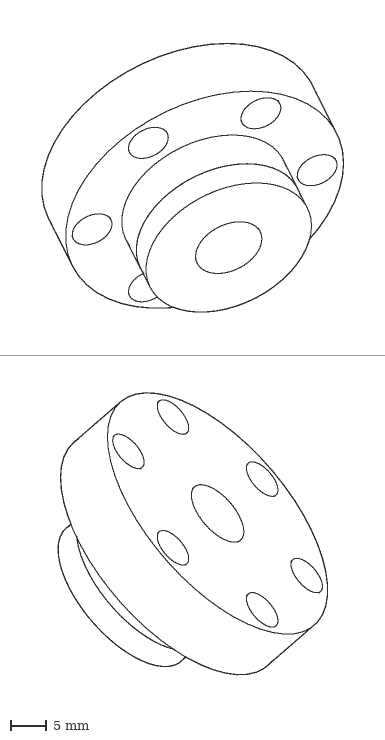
import cadquery as cq

flange_diameter = 42.0
flange_thickness = 10.0

hub_diameter = 25.05
hub_length = 6.0
spigot_diameter = 25.0
spigot_length = 4.0

bore_diameter = 10.0
bolt_hole_diameter = 6.0
bolt_circle_diameter = 34.0
bolt_hole_count = 6


def disc(start_x, diameter, length):
    """Solid cylinder about the X axis, growing toward +X from start_x."""
    return cq.Workplane("YZ", origin=(start_x, 0, 0)).circle(diameter / 2).extrude(length)


def stepped_body():
    """Flange, hub and spigot stacked end to end along X."""
    hub_start = flange_thickness
    spigot_start = hub_start + hub_length
    flange = disc(0, flange_diameter, flange_thickness)
    hub = disc(hub_start, hub_diameter, hub_length)
    spigot = disc(spigot_start, spigot_diameter, spigot_length)
    return flange.union(hub).union(spigot)


def bore():
    """Central hole through the full length of the part."""
    return disc(0, bore_diameter, flange_thickness + hub_length + spigot_length)


def bolt_holes():
    """Ring of evenly spaced holes through the flange, the first on the +Y axis."""
    return (
        cq.Workplane("YZ")
        .polarArray(bolt_circle_diameter / 2, 0, 360, bolt_hole_count)
        .circle(bolt_hole_diameter / 2)
        .extrude(flange_thickness)
    )


result = stepped_body().cut(bore()).cut(bolt_holes())